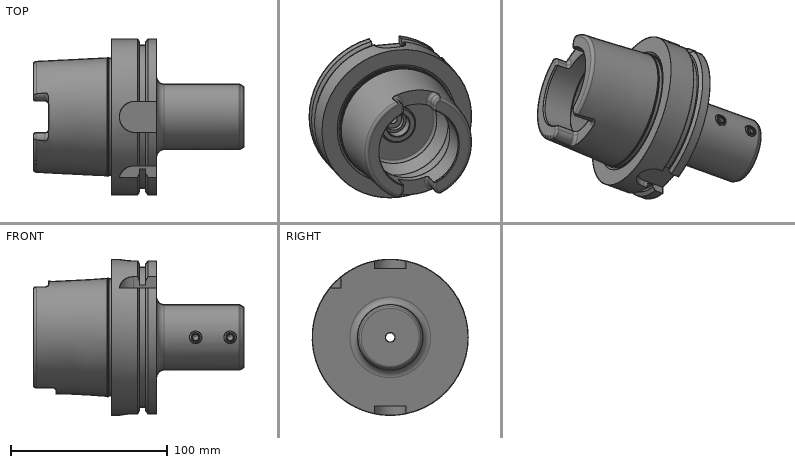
import cadquery as cq
import math


length = 135.0
flange_start = 50.0
flange_end = 79.0

taper_slope = 0.05
taper_end = 47.2
taper_end_radius = 75.7 / 2
relief_radius = 75.3 / 2
relief_start = 48.5
shoulder_x = 47.8
shoulder_radius = 38.2
face_relief_inner_radius = 38.5
face_relief_radius = 39.8
face_relief_depth = 0.7
rim_rounding = 2.0

flange_radius = 100.0 / 2
groove_radius = 46.0
groove_chamfer_radius = 47.7
groove_start = 66.8
groove_floor_start = 68.0
groove_floor_end = 71.7
groove_end = 73.5

shank_radius = 42.0 / 2
neck_fillet = 4.9
shank_chamfer_length = 2.8
shank_chamfer_depth = 1.6
shank_edge_rounding = 1.4
selection_margin = 0.1

bore_radius = 53.0 / 2
bore_mouth_radius = 53.9 / 2
bore_mouth_depth = 1.2
undercut_radius = 63.0 / 2
undercut_start = 20.0
undercut_angle = math.radians(30)
undercut_end = 40.5
undercut_exit_angle = math.radians(30)
floor_fillet = 1.8

collar_radius = 24.0 / 2
collar_chamfer = 1.0
collar_height = 4.0
collar_bore_radius = 15.3 / 2
collar_mouth_radius = 16.0 / 2
collar_step_radius = 12.0 / 2
collar_bore_depth = 8.1
collar_step_depth = 12.2
coolant_hole_radius = 6.0 / 2

end_slot_half_width = 20.1 / 2
end_slot_flare = 4.9
end_slot_flare_top = 32.4
end_slot_floor_fillet = 2.2
slot_mouth_rounding = 1.6
upper_end_slot_depth = 9.7
lower_end_slot_depth = 14.6

drive_slot_radius = 10.0
drive_slot_start = 55.1
drive_slot_floor = 44.0
notch_radius = 9.5
notch_start = 54.8
notch_floor_z = 31.6
notch_wall_y = -31.5

screw_positions = (104.0, 126.1)
screw_radius = 8.0 / 2
screw_top_radius = 5.5 / 2
socket_mouth_radius = 4.6 / 2
socket_radius = 4.0 / 2
socket_depth = 2.7
socket_tip = 1.2

clearance = 6.8
axis_start, axis_end = (0, 0, 0), (1, 0, 0)


def turned(profile):
    """Revolve a closed XY profile about the X axis."""
    return profile.close().revolve(360, axis_start, axis_end)


def taper_and_flange():
    relief_end = flange_start + face_relief_depth
    taper_start_radius = taper_end_radius - taper_slope * taper_end
    profile = (
        cq.Workplane("XY")
        .moveTo(0, 0)
        .lineTo(0, taper_start_radius)
        .lineTo(taper_end, taper_end_radius)
        .lineTo(shoulder_x, shoulder_radius)
        .lineTo(relief_start, relief_radius)
        .lineTo(relief_end, relief_radius)
        .lineTo(relief_end, face_relief_inner_radius)
        .lineTo(flange_start, face_relief_radius)
        .lineTo(flange_start, flange_radius)
        .lineTo(groove_start, flange_radius)
        .lineTo(groove_floor_start, groove_chamfer_radius)
        .lineTo(groove_floor_start, groove_radius)
        .lineTo(groove_floor_end, groove_radius)
        .lineTo(groove_floor_end, groove_chamfer_radius)
        .lineTo(groove_end, flange_radius)
        .lineTo(flange_end, flange_radius)
        .lineTo(flange_end, 0)
    )
    return turned(profile)


def shank():
    neck_end = flange_end + neck_fillet
    arc_offset = neck_fillet * (1 - math.sqrt(0.5))
    profile = (
        cq.Workplane("XY")
        .moveTo(flange_end, 0)
        .lineTo(flange_end, shank_radius + neck_fillet)
        .threePointArc((flange_end + arc_offset, shank_radius + arc_offset), (neck_end, shank_radius))
        .lineTo(length - shank_chamfer_length, shank_radius)
        .lineTo(length, shank_radius - shank_chamfer_depth)
        .lineTo(length, 0)
    )
    chamfer_zone = cq.selectors.BoxSelector(
        (length - shank_chamfer_length - selection_margin, -flange_radius, -flange_radius),
        (length + selection_margin, flange_radius, flange_radius),
        boundingbox=True,
    )
    return turned(profile).edges(chamfer_zone).edges("%CIRCLE").fillet(shank_edge_rounding)


def end_slot(depth, side):
    """Cutter for one end slot: straight walls that flare outward, side = +1 (top) or -1 (bottom)."""
    flare_start = end_slot_flare_top - end_slot_flare
    flare_mid = end_slot_flare * math.sqrt(0.5)
    flare_end_y = end_slot_half_width + end_slot_flare
    outer_z = flange_radius + 2 * clearance
    outer_y = outer_z
    cutter = (
        cq.Workplane("YZ", origin=(-clearance, 0, 0))
        .moveTo(-end_slot_half_width, 0)
        .lineTo(-end_slot_half_width, flare_start)
        .threePointArc(
            (-flare_end_y + flare_mid, flare_start + flare_mid),
            (-flare_end_y, end_slot_flare_top),
        )
        .lineTo(-outer_y, end_slot_flare_top)
        .lineTo(-outer_y, outer_z)
        .lineTo(outer_y, outer_z)
        .lineTo(outer_y, end_slot_flare_top)
        .lineTo(flare_end_y, end_slot_flare_top)
        .threePointArc(
            (flare_end_y - flare_mid, flare_start + flare_mid),
            (end_slot_half_width, flare_start),
        )
        .lineTo(end_slot_half_width, 0)
        .close()
        .extrude(depth + clearance)
        .faces(">X")
        .edges()
        .fillet(end_slot_floor_fillet)
    )
    if side < 0:
        cutter = cutter.mirror("XY")
    return cutter


def slotted_envelope():
    """Plain cylinder around the part with both end slots cut and their mouth edges rounded."""
    envelope = cq.Workplane("YZ").circle(flange_radius + clearance).extrude(length)
    envelope = envelope.cut(end_slot(upper_end_slot_depth, 1))
    envelope = envelope.cut(end_slot(lower_end_slot_depth, -1))
    return envelope.faces("<X").edges("|Z").fillet(slot_mouth_rounding)


def taper_bore():
    undercut_depth = undercut_radius - bore_radius
    undercut_full = undercut_start + undercut_depth * math.tan(undercut_angle)
    exit_end = undercut_end + undercut_depth / math.tan(undercut_exit_angle)
    floor_x = exit_end + floor_fillet
    floor_radius = bore_radius - floor_fillet
    fillet_mid = floor_fillet * math.sqrt(0.5)
    collar_face = floor_x - collar_height
    collar_mouth_depth = collar_mouth_radius - collar_bore_radius
    profile = (
        cq.Workplane("XY")
        .moveTo(-clearance, 0)
        .lineTo(-clearance, bore_mouth_radius)
        .lineTo(0, bore_mouth_radius)
        .lineTo(bore_mouth_depth, bore_radius)
        .lineTo(undercut_start, bore_radius)
        .lineTo(undercut_full, undercut_radius)
        .lineTo(undercut_end, undercut_radius)
        .lineTo(exit_end, bore_radius)
        .threePointArc((exit_end + fillet_mid, floor_radius + fillet_mid), (floor_x, floor_radius))
        .lineTo(floor_x, collar_radius)
        .lineTo(collar_face + collar_chamfer, collar_radius)
        .lineTo(collar_face, collar_radius - collar_chamfer)
        .lineTo(collar_face, collar_mouth_radius)
        .lineTo(collar_face + collar_mouth_depth, collar_bore_radius)
        .lineTo(collar_face + collar_bore_depth, collar_bore_radius)
        .lineTo(collar_face + collar_bore_depth, collar_step_radius)
        .lineTo(collar_face + collar_step_depth, collar_step_radius)
        .lineTo(collar_face + collar_step_depth, coolant_hole_radius)
        .lineTo(length + clearance, coolant_hole_radius)
        .lineTo(length + clearance, 0)
    )
    return turned(profile)


def round_ended_slot(start_x, radius, center_y):
    """Vertical cutter open toward the shank, its closed end a half circle."""
    center_x = start_x + radius
    run = flange_end - center_x + neck_fillet
    round_end = cq.Workplane("XY").center(center_x, center_y).circle(radius).extrude(flange_radius)
    straight = (
        cq.Workplane("XY")
        .center(center_x + run / 2, center_y)
        .rect(run, 2 * radius)
        .extrude(flange_radius)
    )
    return round_end.union(straight)


def drive_slots():
    upper = round_ended_slot(drive_slot_start, drive_slot_radius, 0).translate((0, 0, drive_slot_floor))
    return upper.union(upper.mirror("XY"))


def corner_notch():
    cutter = round_ended_slot(notch_start, notch_radius, notch_wall_y - notch_radius)
    return cutter.translate((0, 0, notch_floor_z))


def screw_end(x):
    """Cutter for one set screw flush with the -Y side: ring around its chamfered end, and its socket."""
    surface = -shank_radius
    ring_bottom = surface + screw_radius - screw_top_radius
    socket_chamfer = socket_mouth_radius - socket_radius
    socket_bottom = surface + socket_depth
    center, axis = (x, 0, 0), (x, 1, 0)
    ring = (
        cq.Workplane("XY")
        .moveTo(x + screw_top_radius, surface)
        .lineTo(x + screw_radius, surface)
        .lineTo(x + screw_radius, ring_bottom)
        .close()
        .revolve(360, center, axis)
    )
    socket = (
        cq.Workplane("XY")
        .moveTo(x, surface)
        .lineTo(x + socket_mouth_radius, surface)
        .lineTo(x + socket_radius, surface + socket_chamfer)
        .lineTo(x + socket_radius, socket_bottom)
        .lineTo(x, socket_bottom + socket_tip)
        .close()
        .revolve(360, center, axis)
    )
    return ring.union(socket)


body = taper_and_flange()
body = body.faces("<X").edges().fillet(rim_rounding)
body = body.intersect(slotted_envelope())
body = body.cut(drive_slots())
body = body.cut(corner_notch())
body = body.union(shank())
body = body.cut(taper_bore())
for screw_x in screw_positions:
    body = body.cut(screw_end(screw_x))

result = body